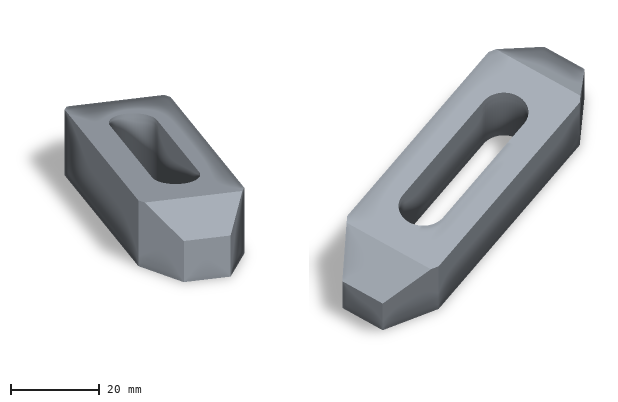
import cadquery as cq
import math

length = 80.0
width = 25.0
height = 16.0

nose_width = 11.0
nose_height = 10.0
taper_angle = math.radians(30)
side_taper_run = (width - nose_width) / 2 / math.tan(taper_angle)
top_taper_run = (height - nose_height) / math.tan(taper_angle)

slot_length = 43.0
slot_width = nose_width


def plan_body():
    """Block with its four vertical corners cut away, base on Z = 0."""
    half_length = length / 2
    half_width = width / 2
    shoulder_x = half_length - side_taper_run
    outline = [
        (-half_length, -nose_width / 2),
        (-shoulder_x, -half_width),
        (shoulder_x, -half_width),
        (half_length, -nose_width / 2),
        (half_length, nose_width / 2),
        (shoulder_x, half_width),
        (-shoulder_x, half_width),
        (-half_length, nose_width / 2),
    ]
    return cq.Workplane("XY").polyline(outline).close().extrude(height)


def side_profile():
    """Full-width bar whose top slopes down towards both ends."""
    half_length = length / 2
    top_x = half_length - top_taper_run
    outline = [
        (-half_length, 0),
        (half_length, 0),
        (half_length, nose_height),
        (top_x, height),
        (-top_x, height),
        (-half_length, nose_height),
    ]
    return cq.Workplane("XZ").polyline(outline).close().extrude(width / 2, both=True)


slot = cq.Workplane("XY").slot2D(slot_length, slot_width).extrude(height)

result = plan_body().intersect(side_profile()).cut(slot)